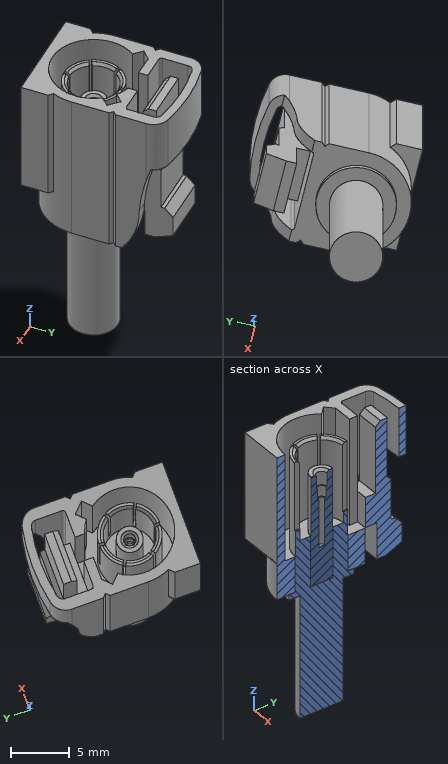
import cadquery as cq
import math


HOUSING_BOTTOM = 13.23
HOUSING_TOP = 27.98
HALF_WIDTH = 4.7
BLOCK_BOTTOM = 16.98
BLOCK_LEFT_EDGE = -2.38
BLOCK_RIGHT_EDGE = -2.18
BACK_CROWN = 8.85
BACK_SHOULDER = 8.17
BACK_FILLET = 1.55
GROOVE_CENTRE = 3.8
GROOVE_DEPTH = 0.3

WINDOW_HALF_WIDTH = 3.65
WINDOW_FRONT = 4.55
GUARD_WALL = 0.78
WINDOW_FRONT_FILLET = 0.25
WINDOW_BACK_FILLET = 0.55
GUARD_BOTTOM = 22.9
RELIEF_TOP = 7.4
RELIEF_BEND = 6.32
RELIEF_BEND_HEIGHT = 17.9
RELIEF_BOTTOM = 4.75
RELIEF_UPPER_BOW = (6.72, 20.57)
RELIEF_LOWER_BOW = (5.85, 15.22)

SOCKET_RADIUS = 3.83
SOCKET_FLOOR = BLOCK_BOTTOM
SLOT_HALF_WIDTH = 1.1
KEY_WIDTH = 1.25
KEY_REACH = 4.8
KEY_SHELF = 3.7

LATCH_WIDTH = 4.65
ARM_FRONT = 5.62
ARM_LOWER_FRONT = 5.75
ARM_BACK = 7.3
ARM_TIP_BACK = 6.85
ARM_TOP = 27.48
ARM_CHAMFER = 0.5
ARM_STEP = 20.93
HINGE_BOTTOM = BLOCK_BOTTOM
HINGE_TOP = 20.15
HOOK_TOP = 16.82
HOOK_SHELF = 7.65
HOOK_BACK = 8.42
HOOK_RAMP_TOP = 14.0
HOOK_RAMP_FRONT = 6.7

TUBE_DIAMETER = 4.55
FLANGE_DIAMETER = 6.88
FLANGE_BOTTOM = 12.67
SLEEVE_DIAMETER = 5.5
SLEEVE_BORE = 4.5
SLEEVE_TOP = 26.65
SLEEVE_CHAMFER = 0.25
SLEEVE_FLOOR = 18.47
SLEEVE_SLOTS = 6
SLEEVE_SLOT_WIDTH = 0.25
SLEEVE_SLOT_FLOOR = 19.59

CENTRE_DIAMETER = 2.3
CENTRE_BOTTOM = HOUSING_BOTTOM
CENTRE_TOP = 24.57
FUNNEL_DIAMETER = 1.5
ENTRY_DIAMETER = 1.04
ENTRY_FLOOR = 22.95
PIN_MOUTH_DIAMETER = 0.8
PIN_MOUTH_FLOOR = 21.82
PIN_HOLE_DIAMETER = 0.55
PIN_HOLE_FLOOR = BLOCK_BOTTOM


def cylinder(diameter, bottom, top):
    return cq.Workplane("XY", origin=(0, 0, bottom)).circle(diameter / 2).extrude(top - bottom)


def box(x_range, y_range, z_range):
    size = [end - start for start, end in (x_range, y_range, z_range)]
    corner = (x_range[0], y_range[0], z_range[0])
    return cq.Workplane("XY").box(*size, centered=False).translate(corner)


def side_profile(outline, width):
    """A closed (Y, Z) outline, made solid across X about the middle plane."""
    return outline.close().extrude(width / 2, both=True)


def domed_prism(half_width, front, shoulder, crown, bottom):
    """A prism up to the housing top, with flat sides and a domed back."""
    return (
        cq.Workplane("XY", origin=(0, 0, bottom))
        .moveTo(-half_width, front)
        .lineTo(half_width, front)
        .lineTo(half_width, shoulder)
        .threePointArc((0, crown), (-half_width, shoulder))
        .close()
        .extrude(HOUSING_TOP - bottom)
    )


def front_block():
    """Square front block; its 45 degree rear faces run into the rounded front."""
    return (
        cq.Workplane("XY", origin=(0, 0, BLOCK_BOTTOM))
        .moveTo(-HALF_WIDTH, -HALF_WIDTH)
        .lineTo(HALF_WIDTH, -HALF_WIDTH)
        .lineTo(HALF_WIDTH, BLOCK_RIGHT_EDGE)
        .lineTo(HALF_WIDTH + BLOCK_RIGHT_EDGE, 0)
        .lineTo(-HALF_WIDTH - BLOCK_LEFT_EDGE, 0)
        .lineTo(-HALF_WIDTH, BLOCK_LEFT_EDGE)
        .close()
        .extrude(HOUSING_TOP - BLOCK_BOTTOM)
    )


def side_groove(side):
    """V groove along one flat side: side is -1 for left and 1 for right."""
    return (
        cq.Workplane("XY", origin=(0, 0, HOUSING_BOTTOM))
        .moveTo(side * HALF_WIDTH, GROOVE_CENTRE - GROOVE_DEPTH)
        .lineTo(side * (HALF_WIDTH - GROOVE_DEPTH), GROOVE_CENTRE)
        .lineTo(side * HALF_WIDTH, GROOVE_CENTRE + GROOVE_DEPTH)
        .close()
        .extrude(HOUSING_TOP - HOUSING_BOTTOM)
    )


def window():
    """Opening through the housing behind the socket, with rounded corners."""
    rise = BACK_CROWN - BACK_SHOULDER
    dome_radius = (HALF_WIDTH**2 + rise**2) / (2 * rise)
    inner_radius = dome_radius - GUARD_WALL
    dome_centre = BACK_CROWN - dome_radius
    shoulder = dome_centre + math.sqrt(inner_radius**2 - WINDOW_HALF_WIDTH**2)
    opening = domed_prism(
        WINDOW_HALF_WIDTH, WINDOW_FRONT, shoulder, BACK_CROWN - GUARD_WALL, HOUSING_BOTTOM
    )
    opening = opening.edges("|Z").edges(">Y").fillet(WINDOW_BACK_FILLET)
    return opening.edges("|Z").edges("<Y").fillet(WINDOW_FRONT_FILLET)


def guard_relief():
    """Everything behind the S-shaped lower edge of the guard."""
    outline = (
        cq.Workplane("YZ")
        .moveTo(BACK_CROWN, GUARD_BOTTOM)
        .lineTo(RELIEF_TOP, GUARD_BOTTOM)
        .threePointArc(RELIEF_UPPER_BOW, (RELIEF_BEND, RELIEF_BEND_HEIGHT))
        .threePointArc(RELIEF_LOWER_BOW, (RELIEF_BOTTOM, HOUSING_BOTTOM))
        .lineTo(BACK_CROWN, HOUSING_BOTTOM)
    )
    return side_profile(outline, 2 * HALF_WIDTH)


def key_slot(angle):
    """Radial slot from the connector axis, at an angle in degrees from +X."""
    slot = box((0, KEY_REACH), (-KEY_WIDTH / 2, KEY_WIDTH / 2), (SOCKET_FLOOR, HOUSING_TOP))
    return slot.rotate((0, 0, 0), (0, 0, 1), angle)


def socket():
    """Round socket with two diagonal key slots, a straight left shelf and a rear slot."""
    depth = (SOCKET_FLOOR, HOUSING_TOP)
    shelf_left = KEY_SHELF - KEY_REACH * math.sqrt(2)
    left_key = key_slot(135).intersect(box((-HALF_WIDTH, 0), (0, KEY_SHELF), depth))
    return (
        cylinder(2 * SOCKET_RADIUS, *depth)
        .cut(box((-HALF_WIDTH, 0), (KEY_SHELF, HALF_WIDTH), depth))
        .union(key_slot(45))
        .union(left_key)
        .union(box((shelf_left, 0), (0, KEY_SHELF), depth))
        .union(box((-SLOT_HALF_WIDTH, SLOT_HALF_WIDTH), (0, WINDOW_FRONT), depth))
    )


def latch():
    """Hooked arm, hinged by a web to the front wall of the window."""
    arm_outline = (
        cq.Workplane("YZ")
        .moveTo(WINDOW_FRONT, HINGE_TOP)
        .lineTo(ARM_FRONT, HINGE_TOP)
        .lineTo(ARM_FRONT, ARM_TOP - ARM_CHAMFER)
        .lineTo(ARM_FRONT + ARM_CHAMFER, ARM_TOP)
        .lineTo(ARM_TIP_BACK, ARM_TOP)
        .lineTo(ARM_TIP_BACK, ARM_STEP + ARM_BACK - ARM_TIP_BACK)
        .lineTo(ARM_BACK, ARM_STEP)
        .lineTo(ARM_BACK, HOOK_TOP)
        .lineTo(HOOK_SHELF, HOOK_TOP)
        .lineTo(HOOK_BACK, HOOK_TOP - (HOOK_BACK - HOOK_SHELF))
        .lineTo(HOOK_BACK, HOOK_RAMP_TOP)
        .lineTo(HOOK_RAMP_FRONT, HOUSING_BOTTOM)
        .lineTo(ARM_LOWER_FRONT, HOUSING_BOTTOM)
        .lineTo(ARM_LOWER_FRONT, HINGE_BOTTOM)
        .lineTo(WINDOW_FRONT, HINGE_BOTTOM)
    )
    return side_profile(arm_outline, LATCH_WIDTH)


def make_housing():
    """Round-fronted shell with its block, grooves, window, latch and socket."""
    shell = domed_prism(HALF_WIDTH, 0, BACK_SHOULDER, BACK_CROWN, HOUSING_BOTTOM)
    shell = shell.edges("|Z").edges(">Y").fillet(BACK_FILLET)
    shell = shell.union(cylinder(2 * HALF_WIDTH, HOUSING_BOTTOM, HOUSING_TOP)).union(front_block())
    for side in (-1, 1):
        shell = shell.cut(side_groove(side))
    shell = shell.cut(window()).cut(guard_relief()).union(latch())
    return shell.cut(socket()).cut(cylinder(SLEEVE_DIAMETER, HOUSING_BOTTOM, SOCKET_FLOOR))


def make_outer_contact():
    """Slotted sleeve, flange under the housing and cable tube, with a seat for the centre contact."""
    contact = (
        cq.Workplane("XZ")
        .moveTo(0, 0)
        .lineTo(TUBE_DIAMETER / 2, 0)
        .lineTo(TUBE_DIAMETER / 2, FLANGE_BOTTOM)
        .lineTo(FLANGE_DIAMETER / 2, FLANGE_BOTTOM)
        .lineTo(FLANGE_DIAMETER / 2, HOUSING_BOTTOM)
        .lineTo(SLEEVE_DIAMETER / 2, HOUSING_BOTTOM)
        .lineTo(SLEEVE_DIAMETER / 2, SLEEVE_TOP)
        .lineTo(SLEEVE_BORE / 2 + SLEEVE_CHAMFER, SLEEVE_TOP)
        .lineTo(SLEEVE_BORE / 2, SLEEVE_TOP - SLEEVE_CHAMFER)
        .lineTo(SLEEVE_BORE / 2, SLEEVE_FLOOR)
        .lineTo(CENTRE_DIAMETER / 2, SLEEVE_FLOOR)
        .lineTo(CENTRE_DIAMETER / 2, CENTRE_BOTTOM)
        .lineTo(0, CENTRE_BOTTOM)
        .close()
        .revolve(360, (0, 0, 0), (0, 1, 0))
    )
    slot = box(
        (-SLEEVE_SLOT_WIDTH / 2, SLEEVE_SLOT_WIDTH / 2),
        (0, SLEEVE_DIAMETER),
        (SLEEVE_SLOT_FLOOR, SLEEVE_TOP),
    )
    for index in range(SLEEVE_SLOTS):
        contact = contact.cut(slot.rotate((0, 0, 0), (0, 0, 1), index * 360 / SLEEVE_SLOTS))
    return contact


def make_centre_contact():
    """Round body with a funnel that leads into a stepped pin hole."""
    funnel_depth = (FUNNEL_DIAMETER - ENTRY_DIAMETER) / 2
    return (
        cq.Workplane("XZ")
        .moveTo(0, CENTRE_BOTTOM)
        .lineTo(CENTRE_DIAMETER / 2, CENTRE_BOTTOM)
        .lineTo(CENTRE_DIAMETER / 2, CENTRE_TOP)
        .lineTo(FUNNEL_DIAMETER / 2, CENTRE_TOP)
        .lineTo(ENTRY_DIAMETER / 2, CENTRE_TOP - funnel_depth)
        .lineTo(ENTRY_DIAMETER / 2, ENTRY_FLOOR)
        .lineTo(PIN_MOUTH_DIAMETER / 2, ENTRY_FLOOR)
        .lineTo(PIN_MOUTH_DIAMETER / 2, PIN_MOUTH_FLOOR)
        .lineTo(PIN_HOLE_DIAMETER / 2, PIN_MOUTH_FLOOR)
        .lineTo(PIN_HOLE_DIAMETER / 2, PIN_HOLE_FLOOR)
        .lineTo(0, PIN_HOLE_FLOOR)
        .close()
        .revolve(360, (0, 0, 0), (0, 1, 0))
    )


housing = make_housing()
outer_contact = make_outer_contact()
centre_contact = make_centre_contact()

result = cq.Compound.makeCompound([housing.val(), outer_contact.val(), centre_contact.val()])